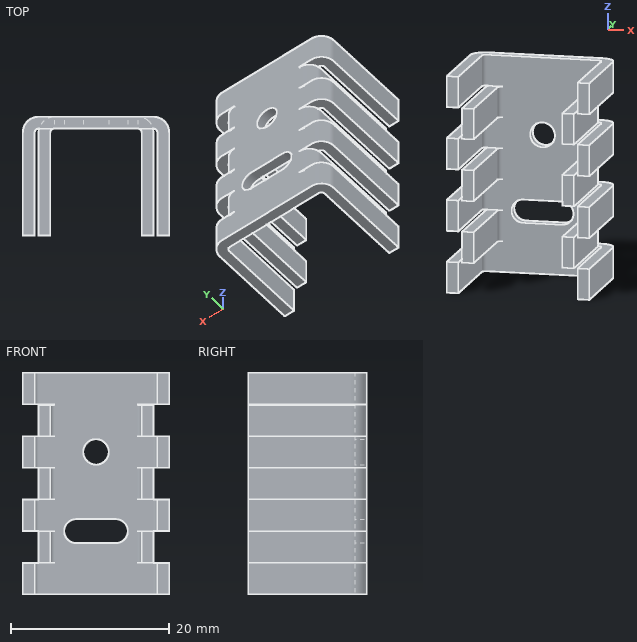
import cadquery as cq

width = 18.5
depth = 15.0
height = 28.0

sheet = 1.5
outer_bend_radius = 2.0
inner_bend_radius = 0.5

row_count = 7
row_height = height / row_count
fin_inset = 2.0
top_narrow_clearance = 0.05

hole_diameter = 3.2
hole_z = 4.5 * row_height
slot_length = 8.0
slot_width = 3.0
slot_z = 2 * row_height

back_y = depth / 2
plate_front_y = back_y - sheet


def channel(outer_width, bottom_z, channel_height):
    """U-shaped row: a back plate with two fins bent forward toward -Y."""
    outer = (
        cq.Workplane("XY")
        .box(outer_width, depth, channel_height, centered=(True, True, False))
        .edges("|Z and >Y")
        .fillet(outer_bend_radius)
    )
    inner = (
        cq.Workplane("XY")
        .box(outer_width - 2 * sheet, depth, channel_height, centered=(True, True, False))
        .edges("|Z and >Y")
        .fillet(inner_bend_radius)
        .translate((0, -sheet, 0))
    )
    return outer.cut(inner).translate((0, 0, bottom_z))


def finned_sheet():
    """Stack wide and narrow rows on one continuous back plate."""
    plate_width = width - 2 * (fin_inset + outer_bend_radius)
    body = (
        cq.Workplane("XY")
        .box(plate_width, sheet, height, centered=(True, False, False))
        .translate((0, plate_front_y, 0))
    )
    for row in range(row_count):
        is_narrow = row % 2 == 1
        row_width = width - 2 * fin_inset if is_narrow else width
        is_top_narrow = row == row_count - 2
        fin_height = row_height - top_narrow_clearance if is_top_narrow else row_height
        body = body.union(channel(row_width, row * row_height, fin_height))
    return body


def plate_openings():
    """Round hole and horizontal slot through the back plate."""
    back_plane = cq.Workplane("XZ", origin=(0, back_y, 0))
    hole = back_plane.center(0, hole_z).circle(hole_diameter / 2).extrude(sheet)
    slot = back_plane.center(0, slot_z).slot2D(slot_length, slot_width).extrude(sheet)
    return hole.union(slot)


result = finned_sheet().cut(plate_openings())